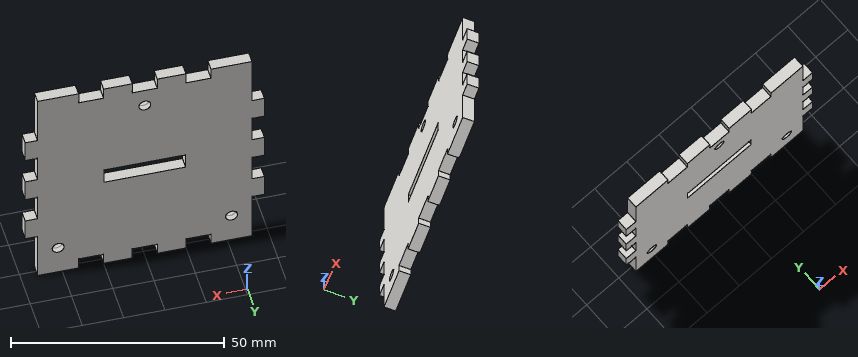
import cadquery as cq

thickness = 3.0
outer_size = 58.0
joint_depth = thickness
joint_width = 6.0
joint_pitch = 13.0
slot_length = 19.75
slot_height = 4.0
hole_diameter = 2.85
hole_offset = 21.0

body_width = outer_size - 2 * joint_depth
joint_centre = (outer_size - joint_depth) / 2
joint_positions = [-joint_pitch, 0, joint_pitch]
hole_centres = [(0, hole_offset), (-hole_offset, -hole_offset), (hole_offset, -hole_offset)]


def block(x_size, z_size, x_centre=0, z_centre=0):
    """Full-thickness rectangular block centred on the plate's mid-plane."""
    return cq.Workplane("XY").box(x_size, thickness, z_size).translate((x_centre, 0, z_centre))


def add_side_tabs(plate):
    """Finger-joint tabs along the left and right edges."""
    for side in (-1, 1):
        for z in joint_positions:
            plate = plate.union(block(joint_depth, joint_width, side * joint_centre, z))
    return plate


def cut_edge_notches(plate):
    """Finger-joint notches along the top and bottom edges."""
    for side in (-1, 1):
        for x in joint_positions:
            plate = plate.cut(block(joint_width, joint_depth, x, side * joint_centre))
    return plate


def cut_slot(plate):
    """Rectangular window through the middle of the plate."""
    return plate.cut(block(slot_length, slot_height))


def cut_holes(plate):
    """Three round mounting holes through the plate."""
    holes = (
        cq.Workplane("XZ")
        .pushPoints(hole_centres)
        .circle(hole_diameter / 2)
        .extrude(thickness, both=True)
    )
    return plate.cut(holes)


plate = block(body_width, outer_size)
plate = add_side_tabs(plate)
plate = cut_edge_notches(plate)
plate = cut_slot(plate)
result = cut_holes(plate)